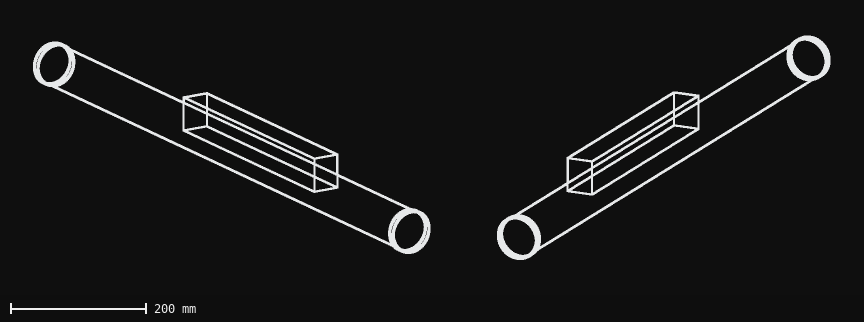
import cadquery as cq

overall_length = 1000.0
overall_depth = 102.0
tube_diameter = 60.0
collar_diameter = 64.0
collar_length = 10.0
mount_length = 364.0
mount_height = 51.0

tube_end = overall_length / 2
mount_front = tube_diameter / 2
mount_back = overall_depth - collar_diameter / 2


def rod_along_x(diameter, length, start_x):
    """Solid round rod on the lamp axis, running toward +X from start_x."""
    return cq.Workplane("YZ", origin=(start_x, 0, 0)).circle(diameter / 2).extrude(length)


def make_tube():
    """Round lamp body over the full length."""
    return rod_along_x(tube_diameter, overall_length, -tube_end)


def make_end_collar(start_x):
    """Thin ring around the tube, flush with one of its ends."""
    outside = rod_along_x(collar_diameter, collar_length, start_x)
    bore = rod_along_x(tube_diameter, collar_length, start_x)
    return outside.cut(bore)


def make_mount():
    """Wall box whose front face touches the back of the tube."""
    mount_depth = mount_back - mount_front
    center_y = (mount_front + mount_back) / 2
    return cq.Workplane("XY", origin=(0, center_y, 0)).box(mount_length, mount_depth, mount_height)


tube = make_tube()
end_collars = [make_end_collar(start_x) for start_x in (-tube_end, tube_end - collar_length)]
mount = make_mount()

result = cq.Compound.makeCompound([tube.val(), mount.val(), *[collar.val() for collar in end_collars]])